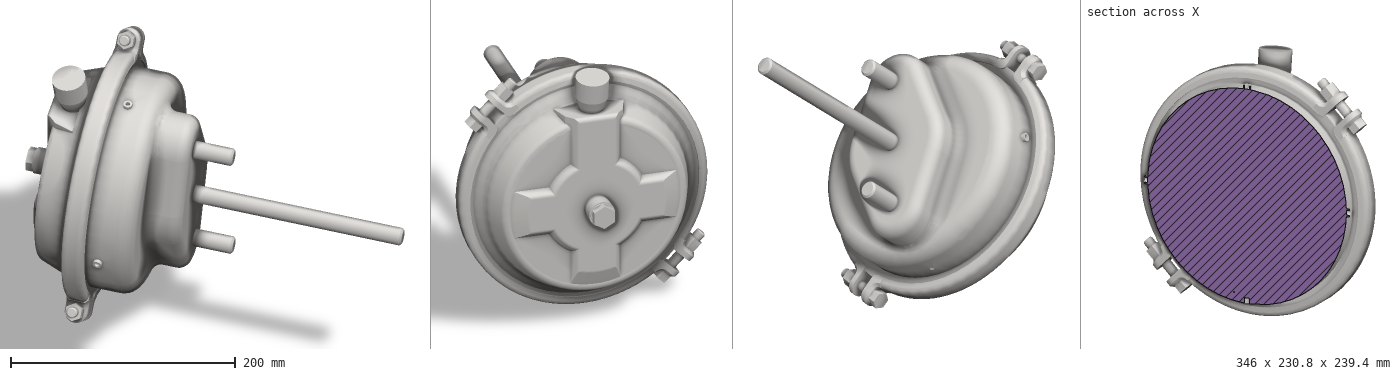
import cadquery as cq
import math


COVER_FACE_X = 22.5
POCKET_FLOOR_X = 28.5
POCKET_FLOOR_R = 79.0
COVER_RIM_X = 32.5
COVER_RIM_R = 86.5
CONE_END_X = 53.0
CONE_END_R = 94.0
COVER_LIP_X = 57.5
COVER_LIP_R = 98.0
COVER_LIP_END_R = 103.0
SHELL_R = 100.55
SHELL_BACK_X = 122.0
SHELL_ROUND = 15.5

CROSS_HEIGHT = POCKET_FLOOR_X - COVER_FACE_X
CROSS_SINK = 5.2
ARM_HALF_WIDTH = 17.5
ARM_END_R = 64.0
HUB_R = 43.5
CROSS_DRAFT = 43
CROSS_ROUND = 4.0
PAD_Z = 89.3
PAD_DEPTH = 34.5
PAD_BACK_X = 50.0
PAD_BACK_HALF_WIDTH = 32.5

BREATHER_TOP_X = 37.5
BREATHER_TOP_Z = 122.0
BREATHER_TILT = 7.5
BREATHER_D = 30.0
BREATHER_FOOT_D = 22.5
BREATHER_CAP_LENGTH = 19.5
BREATHER_TAPER_LENGTH = 12.8
BREATHER_ROOT = 7.0

PLUG_D = 24.0
PLUG_NECK_D = 21.5
PLUG_HEX_FLATS = 19.0
PLUG_HEX_LENGTH = 6.2
PLUG_NECK_LENGTH = 1.5

FLANGE_R = 110.92
FLANGE_WIDTH = 17.3
CLAMP_X = 71.0
CLAMP_WIDTH = 20.8
CLAMP_CROWN_WIDTH = 18.0
CLAMP_R = 115.42
CLAMP_INNER_R = 106.5
CLAMP_ROUND = 5.0

LUG_SHIFT = 0.7
LUG_GAP = 14.0
LUG_THICKNESS = 8.0
LUG_BEND = 4.5
LUG_FOOT_ROUND = 4.5
LUG_CHAMFER = 2.8
BOLT_R = 124.0
BOLT_D = 9.5
BOLT_TIP_LENGTH = 8.0
HEX_FLATS = 14.2
HEAD_LENGTH = 8.0
NUT_LENGTH = 10.7
BOLT_CHAMFER = 1.0

DRAIN_X = 92.0
DRAIN_TIP_R = 103.8
DRAIN_D = 8.0
DRAIN_HOLE_D = 4.0
DRAIN_DEPTH = 5.2

BOSS_END_X = 154.0
BOSS_HUB_R = 51.5
BOSS_LOBE_R = 29.8
STUD_Z = 60.5
BOSS_END_ROUND = 10.7
BOSS_FOOT_ROUND = 9.0
ROD_D = 16.0
ROD_CHAMFER = 1.7
STUD_END_X = 190.0
ROD_END_X = 346.0

PICK_MARGIN = 0.5


def cylinder_x(diameter, start, end):
    """Round bar on the chamber axis from X = start to X = end."""
    return cq.Workplane("YZ", origin=(start, 0, 0)).circle(diameter / 2).extrude(end - start)


def hexagon(plane, flats):
    """Hexagon given by its width across flats, with a corner on the plane's x direction."""
    return plane.polygon(6, flats / math.cos(math.radians(30)))


def make_shell():
    lip_middle_x = (CONE_END_X + COVER_LIP_X) / 2 + 0.2
    lip_middle_r = (CONE_END_R + COVER_LIP_R) / 2 - 0.28
    flange_front = CLAMP_X - FLANGE_WIDTH / 2
    flange_back = CLAMP_X + FLANGE_WIDTH / 2
    rim_middle_x = POCKET_FLOOR_X + 0.29 * (COVER_RIM_X - POCKET_FLOOR_X)
    rim_middle_r = POCKET_FLOOR_R + 0.71 * (COVER_RIM_R - POCKET_FLOOR_R)
    shell = (
        cq.Workplane("XY")
        .moveTo(POCKET_FLOOR_X, 0)
        .lineTo(POCKET_FLOOR_X, POCKET_FLOOR_R)
        .threePointArc((rim_middle_x, rim_middle_r), (COVER_RIM_X, COVER_RIM_R))
        .lineTo(CONE_END_X, CONE_END_R)
        .threePointArc((lip_middle_x, lip_middle_r), (COVER_LIP_X, COVER_LIP_R))
        .lineTo(flange_front, COVER_LIP_END_R)
        .lineTo(flange_front, FLANGE_R)
        .lineTo(flange_back, FLANGE_R)
        .lineTo(flange_back, SHELL_R)
        .lineTo(SHELL_BACK_X, SHELL_R)
        .lineTo(SHELL_BACK_X, 0)
        .close()
        .revolve(360, (0, 0, 0), (1, 0, 0))
    )
    return shell.edges(">X").fillet(SHELL_ROUND)


def make_pad():
    """Flat-topped block that carries the top arm out to the breather."""
    flare = math.tan(math.radians(CROSS_DRAFT))
    rim_half_width = ARM_HALF_WIDTH + (COVER_RIM_X - COVER_FACE_X) * flare
    return (
        cq.Workplane("XY", origin=(0, 0, PAD_Z))
        .polyline([
            (COVER_FACE_X, -ARM_HALF_WIDTH),
            (COVER_RIM_X, -rim_half_width),
            (PAD_BACK_X, -PAD_BACK_HALF_WIDTH),
            (PAD_BACK_X, PAD_BACK_HALF_WIDTH),
            (COVER_RIM_X, rim_half_width),
            (COVER_FACE_X, ARM_HALF_WIDTH),
        ])
        .close()
        .extrude(-PAD_DEPTH)
    )


def make_cross():
    """Four drafted arms and a round hub; a cone slopes the arm ends and the pad extends the top arm."""
    depth = CROSS_HEIGHT + CROSS_SINK
    face = cq.Workplane("YZ", origin=(COVER_FACE_X, 0, 0))
    arm_length = 2 * COVER_RIM_R
    cross = face.circle(HUB_R).extrude(depth, taper=-CROSS_DRAFT)
    for size in ((2 * ARM_HALF_WIDTH, arm_length), (arm_length, 2 * ARM_HALF_WIDTH)):
        cross = cross.union(face.rect(*size).extrude(depth, taper=-CROSS_DRAFT))
    end_draft = math.degrees(math.atan((POCKET_FLOOR_R - ARM_END_R) / CROSS_HEIGHT))
    end_cone = face.circle(ARM_END_R).extrude(CROSS_HEIGHT, taper=-end_draft)
    root = cylinder_x(2 * POCKET_FLOOR_R, POCKET_FLOOR_X, COVER_FACE_X + depth)
    cross = cross.intersect(end_cone.union(root)).union(make_pad()).clean()
    return cross.faces("<X").edges().fillet(CROSS_ROUND)


def make_pad_relief():
    """Space above the pad, cut into the cone."""
    return cq.Workplane("XY").box(
        PAD_BACK_X - COVER_FACE_X, 2 * SHELL_R, SHELL_R, centered=(False, True, False)
    ).translate((COVER_FACE_X, 0, PAD_Z))


def make_breather():
    taper_z = -BREATHER_CAP_LENGTH
    foot_z = taper_z - BREATHER_TAPER_LENGTH
    breather = (
        cq.Workplane("XZ")
        .polyline([
            (0, 0),
            (BREATHER_D / 2, 0),
            (BREATHER_D / 2, taper_z),
            (BREATHER_FOOT_D / 2, foot_z),
            (BREATHER_FOOT_D / 2, foot_z - BREATHER_ROOT),
            (0, foot_z - BREATHER_ROOT),
        ])
        .close()
        .revolve(360, (0, 0, 0), (0, 1, 0))
    )
    breather = breather.rotate((0, 0, 0), (0, 1, 0), -BREATHER_TILT)
    return breather.translate((BREATHER_TOP_X, 0, BREATHER_TOP_Z))


def make_plug():
    neck_x = PLUG_HEX_LENGTH + PLUG_NECK_LENGTH
    plug = hexagon(cq.Workplane("YZ"), PLUG_HEX_FLATS).extrude(PLUG_HEX_LENGTH)
    plug = plug.rotate((0, 0, 0), (1, 0, 0), 90)
    plug = plug.union(cylinder_x(PLUG_NECK_D, PLUG_HEX_LENGTH, neck_x))
    return plug.union(cylinder_x(PLUG_D, neck_x, POCKET_FLOOR_X))


def make_drain(angle):
    """Drain plug with a blind hole, turned about X from the top by the given angle."""
    drain = (
        cq.Workplane("XY", origin=(DRAIN_X, 0, DRAIN_TIP_R))
        .circle(DRAIN_D / 2)
        .circle(DRAIN_HOLE_D / 2)
        .extrude(-DRAIN_DEPTH)
    )
    return drain.rotate((0, 0, 0), (1, 0, 0), angle)


def make_drain_hole():
    return (
        cq.Workplane("XY", origin=(DRAIN_X, 0, -SHELL_R))
        .circle(DRAIN_HOLE_D / 2)
        .extrude(DRAIN_DEPTH)
    )


def make_boss():
    """Hub and two stud lobes joined by the straight lines tangent to them."""
    slope = (BOSS_HUB_R - BOSS_LOBE_R) / STUD_Z
    across = math.sqrt(1 - slope**2)
    hub_y = BOSS_HUB_R * across
    hub_z = BOSS_HUB_R * slope
    lobe_y = BOSS_LOBE_R * across
    lobe_z = STUD_Z + BOSS_LOBE_R * slope
    lobe_end = STUD_Z + BOSS_LOBE_R
    start_x = SHELL_BACK_X - SHELL_ROUND
    boss = (
        cq.Workplane("YZ", origin=(start_x, 0, 0))
        .moveTo(hub_y, -hub_z)
        .threePointArc((BOSS_HUB_R, 0), (hub_y, hub_z))
        .lineTo(lobe_y, lobe_z)
        .threePointArc((0, lobe_end), (-lobe_y, lobe_z))
        .lineTo(-hub_y, hub_z)
        .threePointArc((-BOSS_HUB_R, 0), (-hub_y, -hub_z))
        .lineTo(-lobe_y, -lobe_z)
        .threePointArc((0, -lobe_end), (lobe_y, -lobe_z))
        .close()
        .extrude(BOSS_END_X - start_x)
    )
    return boss.faces(">X").edges().fillet(BOSS_END_ROUND)


def blend_boss_foot(shell_with_boss):
    """Round the corner where the boss meets the back of the shell."""
    foot_edges = shell_with_boss.edges(
        cq.selectors.BoxSelector(
            (SHELL_BACK_X - SHELL_ROUND + PICK_MARGIN, -SHELL_R, -SHELL_R),
            (SHELL_BACK_X + PICK_MARGIN / 2, SHELL_R, SHELL_R),
            boundingbox=True,
        )
    )
    return foot_edges.fillet(BOSS_FOOT_ROUND)


def make_rod(end_x):
    return cylinder_x(ROD_D, SHELL_BACK_X, end_x).faces(">X").chamfer(ROD_CHAMFER)



def make_band():
    """Split band with flared sides and rounded shoulders."""
    half = CLAMP_WIDTH / 2
    half_crown = CLAMP_CROWN_WIDTH / 2
    band = (
        cq.Workplane("XZ")
        .polyline([
            (CLAMP_INNER_R, -half),
            (CLAMP_R, -half_crown),
            (CLAMP_R, half_crown),
            (CLAMP_INNER_R, half),
        ])
        .close()
        .revolve(360, (0, 0, 0), (0, 1, 0))
    )
    shoulders = band.edges(cq.selectors.RadiusNthSelector(-1))
    band = shoulders.fillet(CLAMP_ROUND)
    opening = LUG_GAP + 2 * LUG_BEND
    return band.cut(cq.Workplane("XY").box(opening, 3 * CLAMP_R, CLAMP_WIDTH).translate((LUG_SHIFT, 0, 0)))


def make_lug():
    """Round-ended tab bent outward from the band, on the +x side of the gap."""
    inner = LUG_GAP / 2
    outer = inner + LUG_THICKNESS
    reach = outer + LUG_FOOT_ROUND
    half_width = CLAMP_WIDTH / 2
    tip = BOLT_R + half_width
    foot = CLAMP_R - LUG_FOOT_ROUND / 4
    diagonal = 1 - math.sqrt(0.5)
    lug = (
        cq.Workplane("XY")
        .moveTo(inner + LUG_BEND, CLAMP_INNER_R)
        .threePointArc(
            (inner + LUG_BEND * diagonal, CLAMP_INNER_R + LUG_BEND * diagonal),
            (inner, CLAMP_INNER_R + LUG_BEND),
        )
        .lineTo(inner, tip)
        .lineTo(outer, tip)
        .lineTo(outer, foot + LUG_FOOT_ROUND)
        .threePointArc(
            (outer + LUG_FOOT_ROUND * diagonal, foot + LUG_FOOT_ROUND * diagonal),
            (reach, foot),
        )
        .lineTo(reach, CLAMP_INNER_R)
        .close()
        .extrude(half_width, both=True)
    )
    outline = cq.Workplane("YZ").center(BOLT_R, 0).circle(half_width).extrude(reach)
    stem = cq.Workplane("XY").box(reach, BOLT_R, CLAMP_WIDTH, centered=(False, False, True))
    lug = lug.intersect(outline.union(stem))
    outer_face = cq.selectors.BoxSelector(
        (outer - PICK_MARGIN, BOLT_R - half_width, -half_width),
        (outer + PICK_MARGIN, tip, half_width),
    )
    round_end = cq.selectors.BoxSelector(
        (inner, BOLT_R - PICK_MARGIN, -CLAMP_WIDTH),
        (reach, 2 * BOLT_R, CLAMP_WIDTH),
    )
    return lug.faces(outer_face).edges(round_end).edges("%CIRCLE").chamfer(LUG_CHAMFER)


def make_bolt():
    """Bolt through both lugs with its head on the -x side and its nut on the +x side."""
    grip = LUG_GAP / 2 + LUG_THICKNESS
    shank_length = 2 * grip + NUT_LENGTH + BOLT_TIP_LENGTH
    left = cq.Workplane("YZ", origin=(-grip, BOLT_R, 0))
    right = cq.Workplane("YZ", origin=(grip, BOLT_R, 0))
    shank = left.circle(BOLT_D / 2).extrude(shank_length).faces(">X").chamfer(BOLT_CHAMFER)
    head = hexagon(left, HEX_FLATS).extrude(-HEAD_LENGTH)
    nut = hexagon(right, HEX_FLATS).extrude(NUT_LENGTH)
    return shank.union(head).union(nut)


def make_clamp():
    lug = make_lug()
    joint = lug.union(lug.mirror("YZ")).union(make_bolt()).translate((LUG_SHIFT, 0, 0))
    clamp = make_band().union(joint).union(joint.mirror("XZ"))
    frame = cq.Plane(origin=(CLAMP_X, 0, 0), xDir=(0, -1, 1), normal=(-1, 0, 0))
    return cq.Workplane(clamp.val().moved(cq.Location(frame)))


body = blend_boss_foot(make_shell().union(make_boss()))

body = body.union(make_cross()).cut(make_pad_relief())
body = body.union(make_breather()).union(make_plug())

body = body.cut(make_drain_hole())
for side in (-90, 0, 90):
    body = body.union(make_drain(side))

stud = make_rod(STUD_END_X)
body = body.union(make_rod(ROD_END_X))
for stud_z in (-STUD_Z, STUD_Z):
    body = body.union(stud.translate((0, 0, stud_z)))

result = body.union(make_clamp())